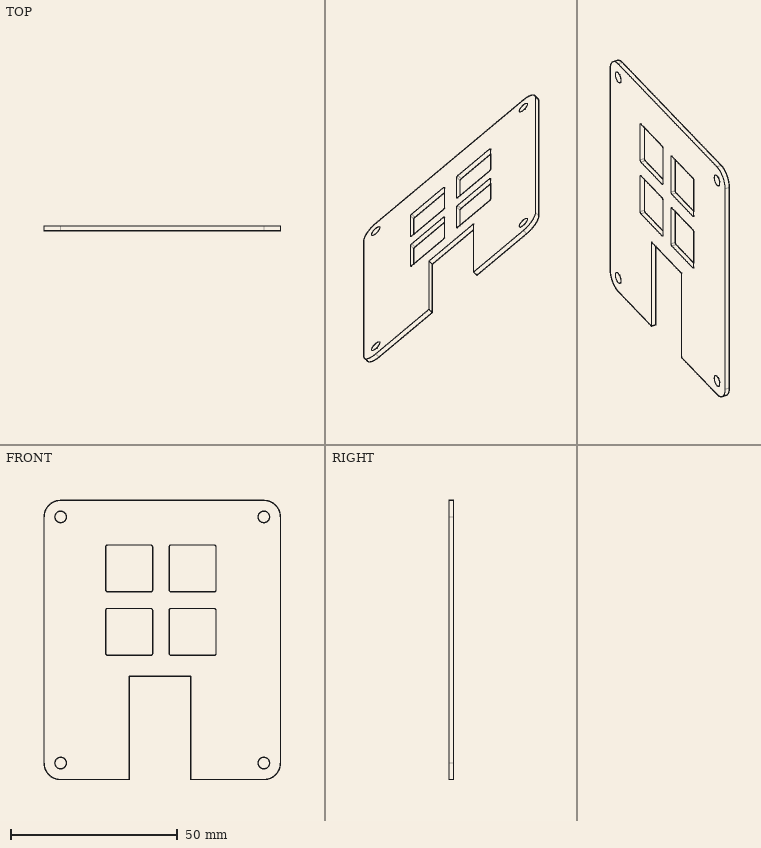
import cadquery as cq

plate_width = 71.0
plate_height = 83.89
plate_thickness = 1.5
corner_radius = 5.0

screw_hole_diameter = 3.4

window_size = 14.0
window_pitch = 19.05
window_corner_radius = 0.5
window_grid_x = -0.4
window_grid_z = 11.96

slot_width = 18.4
slot_height = 31.0
slot_center_x = -0.7


def upright_prism(width, height, center_x, center_z):
    """Rectangular block through the plate thickness, centred on Y = 0."""
    block = cq.Workplane("XY").box(width, plate_thickness, height)
    return block.translate((center_x, 0, center_z))


def make_plate():
    plate = upright_prism(plate_width, plate_height, 0, 0)
    return plate.edges("|Y").fillet(corner_radius)


def cut_screw_holes(body):
    spacing_x = plate_width - 2 * corner_radius
    spacing_z = plate_height - 2 * corner_radius
    holes = (
        cq.Workplane("XZ")
        .rarray(spacing_x, spacing_z, 2, 2)
        .circle(screw_hole_diameter / 2)
        .extrude(plate_thickness / 2, both=True)
    )
    return body.cut(holes)


def cut_windows(body):
    for side_x in (-1, 1):
        for side_z in (-1, 1):
            center_x = window_grid_x + side_x * window_pitch / 2
            center_z = window_grid_z + side_z * window_pitch / 2
            window = upright_prism(window_size, window_size, center_x, center_z)
            body = body.cut(window.edges("|Y").fillet(window_corner_radius))
    return body


def cut_slot(body):
    slot_center_z = (slot_height - plate_height) / 2
    return body.cut(upright_prism(slot_width, slot_height, slot_center_x, slot_center_z))


result = cut_slot(cut_windows(cut_screw_holes(make_plate())))